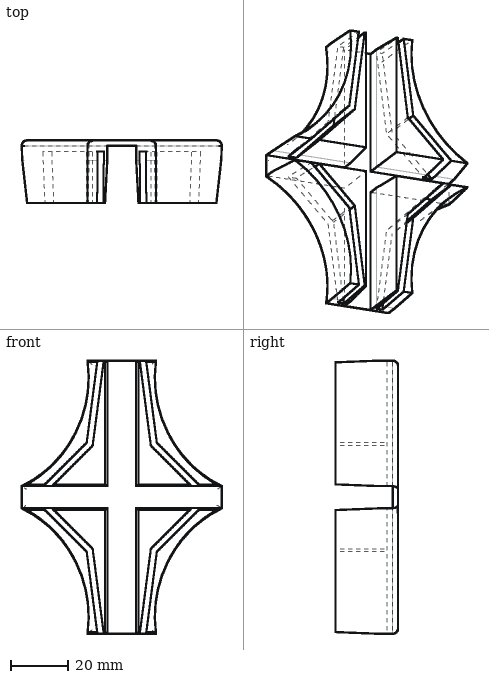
import cadquery as cq
import math

WIDTH = 70.0
DEPTH = 22.0
HEIGHT = 95.5

UPRIGHT_HALF_WIDTH = 12.0
CROSS_HALF_WIDTH = 3.85
SIDE_RADIUS = 41.2

PLATE_THICKNESS = 2.0
EDGE_FILLET = PLATE_THICKNESS
UPRIGHT_CHANNEL_HALF_WIDTH = 5.0
CROSS_CHANNEL_HALF_WIDTH = CROSS_HALF_WIDTH

RELIEF_LENGTH = 15.0
UPRIGHT_CHANNEL_RELIEF = 0.8
CROSS_CHANNEL_RELIEF = 0.6
END_RELIEF = 0.6
FOOT_RELIEF = 0.85
TIP_SIDE_RADIUS = 43.3

SLOT_FLOOR_THICKNESS = 4.0
SLOT_WIDTH = 2.2
SLOT_BEND_X = 12.25
SLOT_BEND_Z = 19.05
SLOT_END_X = 8.5
SLOT_OVERRUN = 2.0

CLOSED_Y = DEPTH / 2
TIP_Y = -DEPTH / 2
PLATE_INNER_Y = CLOSED_Y - PLATE_THICKNESS
RELIEF_Y = TIP_Y + RELIEF_LENGTH
LEG_LENGTH = DEPTH - PLATE_THICKNESS
HALF_WIDTH = WIDTH / 2
HALF_HEIGHT = HEIGHT / 2


def plane_at(y):
    """Plane at the given Y, with its normal along +Y and its local axes along X and -Z."""
    return cq.Workplane(cq.Plane(origin=(0, y, 0), xDir=(1, 0, 0), normal=(0, 1, 0)))


def arc_middle(start, end, radius):
    """Middle point of a concave side running from a cross arm to an upright arm in the +X, +Z quarter."""
    run_x = end[0] - start[0]
    run_z = end[1] - start[1]
    chord = math.hypot(run_x, run_z)
    sagitta = radius - math.sqrt(radius**2 - (chord / 2) ** 2)
    return (
        (start[0] + end[0]) / 2 - sagitta * run_z / chord,
        (start[1] + end[1]) / 2 + sagitta * run_x / chord,
    )


def make_plate():
    """Plate with a rounded rim; the rounding takes up the whole thickness of the plate."""
    side_start = (HALF_WIDTH, CROSS_HALF_WIDTH)
    side_end = (UPRIGHT_HALF_WIDTH, HALF_HEIGHT)
    mid_x, mid_z = arc_middle(side_start, side_end, SIDE_RADIUS)
    block = (
        plane_at(TIP_Y)
        .moveTo(HALF_WIDTH, -CROSS_HALF_WIDTH)
        .lineTo(*side_start)
        .threePointArc((mid_x, mid_z), side_end)
        .lineTo(-UPRIGHT_HALF_WIDTH, HALF_HEIGHT)
        .threePointArc((-mid_x, mid_z), (-HALF_WIDTH, CROSS_HALF_WIDTH))
        .lineTo(-HALF_WIDTH, -CROSS_HALF_WIDTH)
        .threePointArc((-mid_x, -mid_z), (-UPRIGHT_HALF_WIDTH, -HALF_HEIGHT))
        .lineTo(UPRIGHT_HALF_WIDTH, -HALF_HEIGHT)
        .threePointArc((mid_x, -mid_z), (HALF_WIDTH, -CROSS_HALF_WIDTH))
        .close()
        .extrude(DEPTH)
        .faces(">Y")
        .edges()
        .fillet(EDGE_FILLET)
    )
    leg_space = plane_at(TIP_Y).rect(WIDTH, HEIGHT).extrude(LEG_LENGTH)
    return block.cut(leg_space)


def quarter_section(plane, foot_x, radius):
    """Section of one quarter, from the part's axis to the concave side."""
    foot = (foot_x, CROSS_CHANNEL_HALF_WIDTH)
    top = (UPRIGHT_HALF_WIDTH, HALF_HEIGHT)
    return (
        plane.moveTo(0, CROSS_CHANNEL_HALF_WIDTH)
        .lineTo(*foot)
        .threePointArc(arc_middle(foot, top, radius), top)
        .lineTo(0, HALF_HEIGHT)
        .close()
    )


def make_quarter_block():
    """Solid below one quarter of the plate; its concave side flattens slightly towards the tip."""
    base = quarter_section(plane_at(PLATE_INNER_Y), HALF_WIDTH, SIDE_RADIUS)
    tip_plane = base.workplane(offset=-LEG_LENGTH)
    return quarter_section(tip_plane, HALF_WIDTH - FOOT_RELIEF, TIP_SIDE_RADIUS).loft(ruled=True)


def make_channel(plane, half_width, relief):
    """Flared channel, drawn on a plane whose local axes are (across the channel, Y)."""
    return (
        plane.polyline(
            [
                (-half_width - relief, TIP_Y),
                (half_width + relief, TIP_Y),
                (half_width, RELIEF_Y),
                (half_width, PLATE_INNER_Y),
                (-half_width, PLATE_INNER_Y),
                (-half_width, RELIEF_Y),
            ]
        )
        .close()
        .extrude(HALF_HEIGHT, both=True)
    )


def make_end_wedge():
    """Wedge that slims the leg tips at the end of the +Z arm."""
    return (
        cq.Workplane("ZY")
        .polyline(
            [
                (HALF_HEIGHT, RELIEF_Y),
                (HALF_HEIGHT, TIP_Y),
                (HALF_HEIGHT - END_RELIEF, TIP_Y),
            ]
        )
        .close()
        .extrude(HALF_WIDTH, both=True)
    )


def make_slot():
    """Slot of the +X, +Z leg: a steep run along the upright arm, then a 45 degree run outwards."""
    steep_angle = math.atan2(SLOT_BEND_X - SLOT_END_X, HALF_HEIGHT - SLOT_BEND_Z)
    diagonal_angle = math.radians(45)
    bisector_angle = (steep_angle + diagonal_angle) / 2
    bend_offset = SLOT_WIDTH / math.cos((diagonal_angle - steep_angle) / 2)
    inner_bend_x = SLOT_BEND_X - bend_offset * math.cos(bisector_angle)
    inner_bend_z = SLOT_BEND_Z - bend_offset * math.sin(bisector_angle)

    top_z = HALF_HEIGHT + SLOT_OVERRUN
    bottom_z = CROSS_CHANNEL_HALF_WIDTH - SLOT_OVERRUN
    steepness = math.tan(steep_angle)
    points = [
        (SLOT_BEND_X, SLOT_BEND_Z),
        (SLOT_BEND_X - (top_z - SLOT_BEND_Z) * steepness, top_z),
        (inner_bend_x - (top_z - inner_bend_z) * steepness, top_z),
        (inner_bend_x, inner_bend_z),
        (inner_bend_x + inner_bend_z - bottom_z, bottom_z),
        (SLOT_BEND_X + SLOT_BEND_Z - bottom_z, bottom_z),
    ]
    outline = [(x, -z) for x, z in points]
    return plane_at(TIP_Y).polyline(outline).close().extrude(DEPTH - SLOT_FLOOR_THICKNESS)


def in_all_quarters(quarter):
    """The four mirror copies of a shape about the YZ and XY planes."""
    half = quarter.union(quarter.mirror("YZ"))
    return half.union(half.mirror("XY"))


upright_channel = make_channel(
    cq.Workplane("XY"), UPRIGHT_CHANNEL_HALF_WIDTH, UPRIGHT_CHANNEL_RELIEF
)
cross_channel = make_channel(
    cq.Workplane("ZY"), CROSS_CHANNEL_HALF_WIDTH, CROSS_CHANNEL_RELIEF
)
end_wedge = make_end_wedge()

legs = (
    in_all_quarters(make_quarter_block())
    .cut(upright_channel)
    .cut(cross_channel)
    .cut(end_wedge)
    .cut(end_wedge.mirror("XY"))
    .cut(in_all_quarters(make_slot()))
)
result = make_plate().union(legs)